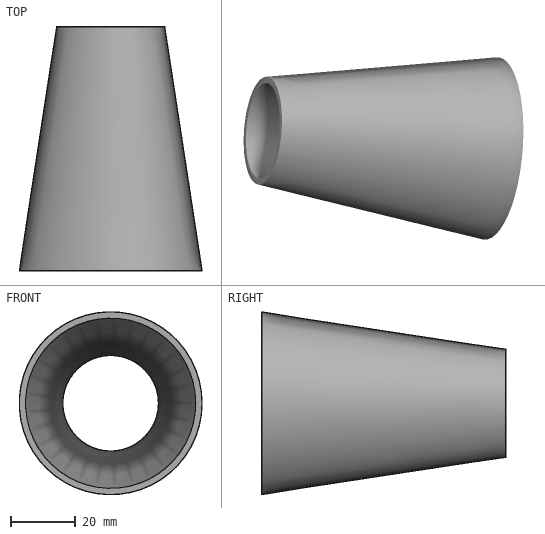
import cadquery as cq

length = 76.0
large_outer_diameter = 57.0
small_outer_diameter = 33.7
wall_thickness = 2.0

large_outer_radius = large_outer_diameter / 2
small_outer_radius = small_outer_diameter / 2
large_inner_radius = large_outer_radius - wall_thickness
small_inner_radius = small_outer_radius - wall_thickness


def make_reducer():
    """Revolve the sloping wall section about Y, with the large end at Y = 0."""
    wall_section = (
        cq.Workplane("XY")
        .moveTo(large_inner_radius, 0)
        .lineTo(large_outer_radius, 0)
        .lineTo(small_outer_radius, length)
        .lineTo(small_inner_radius, length)
        .close()
    )
    return wall_section.revolve(360, (0, 0, 0), (0, 1, 0))


result = make_reducer()